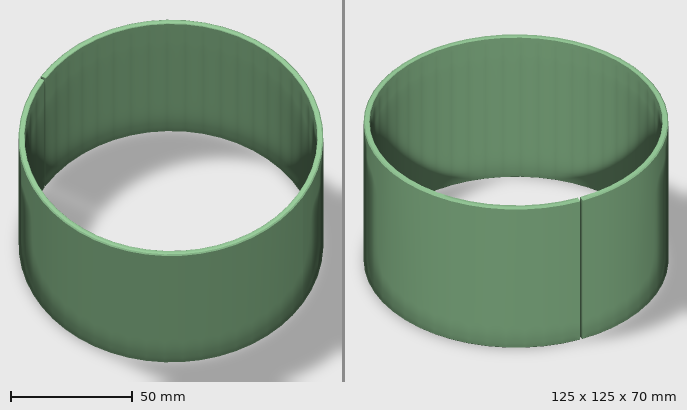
import cadquery as cq

outer_diameter = 125.0
wall = 2.5
length = 70.0
slit_width = 1.1
outer_chamfer = 0.5
inner_chamfer = 0.2

outer_radius = outer_diameter / 2
inner_radius = outer_radius - wall

cylinder = cq.Workplane("XY").circle(outer_radius).extrude(length)
cylinder = cylinder.faces("<Z or >Z").edges().chamfer(outer_chamfer)

bore = cq.Workplane("XY").circle(inner_radius).extrude(length)
tube = cylinder.cut(bore)
tube = tube.faces("<Z or >Z").edges(cq.selectors.RadiusNthSelector(0)).chamfer(inner_chamfer)

slit = (
    cq.Workplane("XY")
    .box(outer_radius, slit_width, length, centered=False)
    .translate((-outer_radius, 0, 0))
)

result = tube.cut(slit)